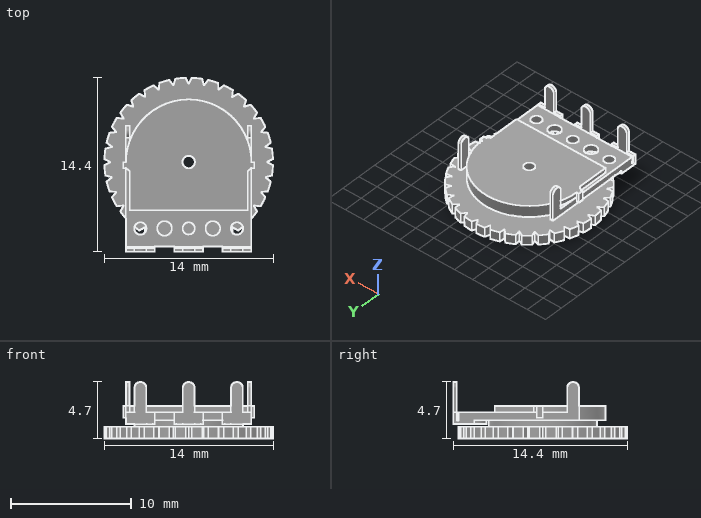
import cadquery as cq
import math


wheel_radius = 7.0
wheel_thickness = 1.0
notch_count = 32
notch_width = 0.5
notch_depth = 0.5
hub_radius = 4.5
axle_hole_radius = 0.5
notch_root = wheel_radius - notch_depth
rim_contact = math.sqrt(wheel_radius**2 - (notch_width / 2) ** 2)

plate_bottom = 1.5
plate_top = 2.2
cover_top = 2.7
pin_top = 4.7

sheet = 0.3
plate_half_width = 5.2
plate_front = -7.0
arm_back = 3.0
pin_width = 1.0

cover_half_width = plate_half_width - sheet
cover_front = -4.0
tab_length = 0.25
tab_width = 0.5
tab_height = 1.0
step_length = 0.25
tab_half_span = plate_half_width + tab_length

terminal_pitch = 4.0
overall_length = 14.44
terminal_front = rim_contact - overall_length
terminal_width = 2.4
terminal_bottom = plate_bottom - sheet
foot_back = -5.67
lug_radius = 1.01

hole_row_y = -5.5
terminal_hole_radius = 0.5
locating_hole_radius = 0.6


def box(x_min, x_max, y_min, y_max, z_min, z_max):
    """Block between the given limits."""
    return cq.Workplane("XY").box(
        x_max - x_min, y_max - y_min, z_max - z_min, centered=False
    ).translate((x_min, y_min, z_min))


def cylinder(x, y, radius, z_min, z_max):
    """Vertical cylinder centred on (x, y)."""
    return cq.Workplane("XY", origin=(x, y, z_min)).circle(radius).extrude(z_max - z_min)


def rounded_pin(z_min):
    """Upright pin centred on X = Y = 0 with a full-round tip, one sheet thick towards -Y."""
    half_width = pin_width / 2
    shoulder = pin_top - half_width
    return (
        cq.Workplane("XZ")
        .moveTo(-half_width, z_min)
        .lineTo(half_width, z_min)
        .lineTo(half_width, shoulder)
        .threePointArc((0, pin_top), (-half_width, shoulder))
        .close()
        .extrude(sheet)
    )


def make_wheel():
    """Disc with V notches around the rim and a hub that carries the plate."""
    wheel = cylinder(0, 0, wheel_radius, 0, wheel_thickness)
    overshoot = 2
    mouth_half_width = notch_width / 2 * overshoot
    mouth_radius = notch_root + (rim_contact - notch_root) * overshoot
    notch = (
        cq.Workplane("XY")
        .polyline([(notch_root, 0), (mouth_radius, mouth_half_width), (mouth_radius, -mouth_half_width)])
        .close()
        .extrude(wheel_thickness)
    )
    for index in range(notch_count):
        wheel = wheel.cut(notch.rotate((0, 0, 0), (0, 0, 1), index * 360 / notch_count))
    return wheel.union(cylinder(0, 0, hub_radius, wheel_thickness, plate_bottom))


def make_plate():
    """Flat plate with two thin side arms, each ending in an upright pin."""
    plate = box(-plate_half_width, plate_half_width, plate_front, 0, plate_bottom, plate_top)
    for side in (-1, 1):
        inner_x = side * cover_half_width
        outer_x = side * plate_half_width
        x_min = min(inner_x, outer_x)
        x_max = max(inner_x, outer_x)
        pin = rounded_pin(plate_bottom).rotate((0, 0, 0), (0, 0, 1), 90)
        plate = plate.union(box(x_min, x_max, 0, arm_back, plate_bottom, plate_top))
        plate = plate.union(pin.translate((x_min, arm_back - pin_width / 2, 0)))
    return plate


def make_cover():
    """Round-backed cover with a tab at each side and a chamfered step down to its narrow front."""
    round_back = (
        cq.Workplane("XY", origin=(0, 0, plate_bottom))
        .moveTo(plate_half_width, 0)
        .threePointArc((0, plate_half_width), (-plate_half_width, 0))
        .close()
        .extrude(cover_top - plate_bottom)
    )
    step_end = -tab_width - step_length
    top_front = (
        cq.Workplane("XY", origin=(0, 0, plate_top))
        .moveTo(-plate_half_width, 0)
        .lineTo(-plate_half_width, -tab_width)
        .lineTo(-cover_half_width, step_end)
        .lineTo(-cover_half_width, cover_front)
        .lineTo(cover_half_width, cover_front)
        .lineTo(cover_half_width, step_end)
        .lineTo(plate_half_width, -tab_width)
        .lineTo(plate_half_width, 0)
        .close()
        .extrude(cover_top - plate_top)
    )
    tabs = box(-tab_half_span, tab_half_span, -tab_width, 0, cover_top - tab_height, cover_top)
    return round_back.union(top_front).union(tabs)


def make_terminal(x):
    """Foot under the plate with a round lug, bent up in front of the plate into a T-shaped pin."""
    x_min = x - terminal_width / 2
    x_max = x + terminal_width / 2
    foot = box(x_min, x_max, terminal_front, foot_back, terminal_bottom, plate_bottom)
    lug = cylinder(x, foot_back, lug_radius, terminal_bottom, plate_bottom)
    upright = box(x_min, x_max, terminal_front, terminal_front + sheet, terminal_bottom, plate_top)
    pin = rounded_pin(terminal_bottom).translate((x, terminal_front + sheet, 0))
    return foot.union(lug).union(upright).union(pin)


body = make_plate().union(make_cover())
for position in (-1, 0, 1):
    body = body.union(make_terminal(position * terminal_pitch))

for position in (-1, 0, 1):
    body = body.cut(
        cylinder(position * terminal_pitch, hole_row_y, terminal_hole_radius, terminal_bottom, plate_top)
    )
for side in (-1, 1):
    body = body.cut(
        cylinder(side * terminal_pitch / 2, hole_row_y, locating_hole_radius, plate_bottom, plate_top)
    )

result = make_wheel().union(body).cut(cylinder(0, 0, axle_hole_radius, 0, cover_top))